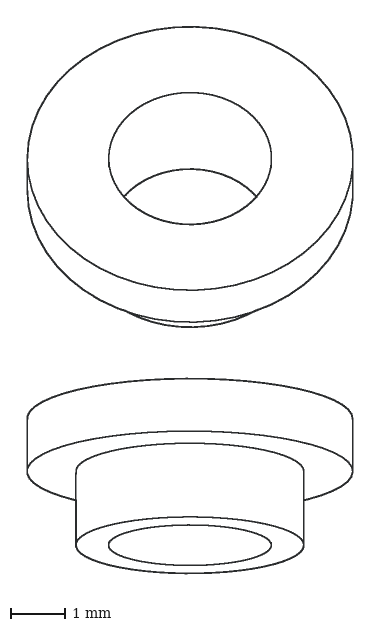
import cadquery as cq

flange_diameter = 6.0
flange_thickness = 1.0
sleeve_diameter = 4.2
bore_diameter = 3.0
total_height = 2.4
sleeve_length = total_height - flange_thickness


def make_sleeve():
    """Solid sleeve standing on the XY plane."""
    return cq.Workplane("XY").circle(sleeve_diameter / 2).extrude(sleeve_length)


def add_flange(body):
    """Wide flange on top of the sleeve."""
    return body.faces(">Z").workplane().circle(flange_diameter / 2).extrude(flange_thickness)


def cut_bore(body):
    """Straight bore through the whole height."""
    bore = cq.Workplane("XY").circle(bore_diameter / 2).extrude(total_height)
    return body.cut(bore)


result = cut_bore(add_flange(make_sleeve()))